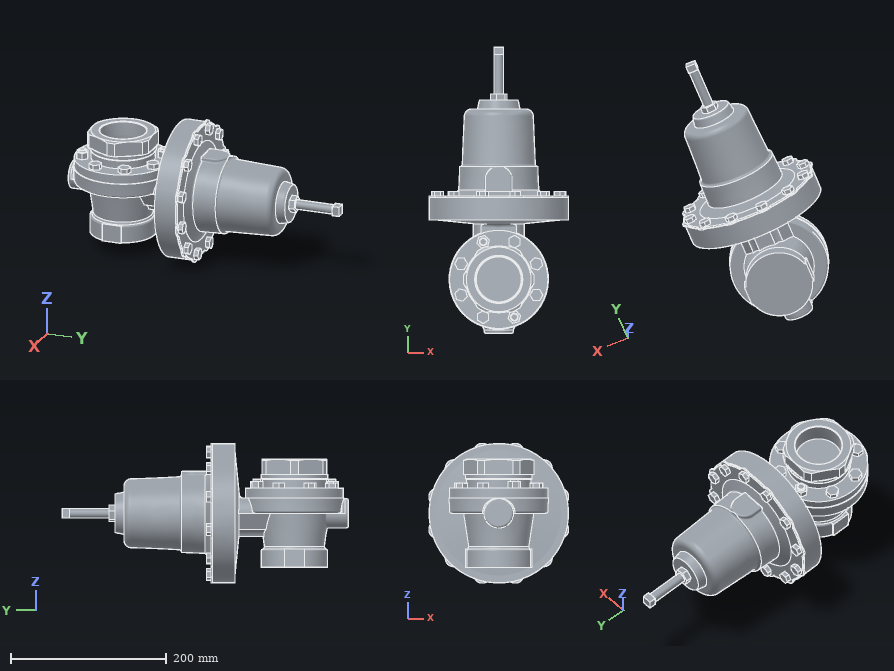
import cadquery as cq
import math



PICK_MARGIN = 1.0

LOWER_FLANGE_FACE = 76.4
LUG_PLATE_BASE = 105.5
LUG_PLATE_TOP = 107.5
LUG_PLATE_RADIUS = 88.0
DIAPHRAGM_RADIUS = 89.8
CONE_RADIUS = 80.6
CONE_SLOPE = 0.1
DIAPHRAGM_BOLT_AF = 13.3
DIAPHRAGM_BOLT_COUNT = 12
DIAPHRAGM_BOLT_STEP = 360.0 / DIAPHRAGM_BOLT_COUNT
DIAPHRAGM_BOLT_CIRCLE = 81.5
DIAPHRAGM_HEAD_HEIGHT = 5.9
OVERALL_WIDTH = 180.16
LUG_OFFSET = DIAPHRAGM_BOLT_CIRCLE * math.cos(math.radians(DIAPHRAGM_BOLT_STEP / 2))
LUG_RADIUS = OVERALL_WIDTH / 2 - LUG_OFFSET

SKIRT_FOOT_RADIUS = 66.0
SKIRT_TOP = 113.3
CASE_ROOT_FILLET = 1.6
CASE_BASE_RADIUS = 51.8
CASE_SHOULDER = 145.4
CASE_SHOULDER_RADIUS = 50.6
BELL_START = 148.7
BELL_START_RADIUS = 47.2
BELL_END = 219.4
BELL_END_RADIUS = 44.2
BELL_ROUND = 8.9
CAP_END = 231.2
CAP_BASE_RADIUS = 27.4
CAP_NECK_RADIUS = 25.5
CAP_END_RADIUS = 24.5
CAP_CHAMFER = 2.2
LOCKNUT_AF = 19.05
LOCKNUT_TURN = 15.0
LOCKNUT_END = 238.9
STEM_WIDTH = 12.7
STEM_SQUARE_LENGTH = 9.4
BOSS_FACE = -69.4
OVERALL_LENGTH = 368.3
STEM_END = BOSS_FACE + OVERALL_LENGTH

PAD_TOP = 54.2
PAD_RADIUS = 17.2
PAD_ROUND = 2.4
PAD_ROOT_FILLET = 2.2
PAD_TIP = CASE_SHOULDER + 0.6
PAD_CENTRE = PAD_TIP - PAD_RADIUS
PAD_FOOT = 40.0
PAD_OVERRUN = 5.0

NECK_HALF_WIDTH = 33.0
NECK_FLAT_HALF_WIDTH = 22.9
NECK_SIDE_FOOT_X = 20.6
NECK_SIDE_FOOT_Z = -21.2
NECK_BOTTOM_HALF_WIDTH = 11.0
NECK_BOTTOM = -30.2
NECK_KEEL_HOLLOW = 1.6
NECK_FILLET = 4.0

BODY_JOINT = 19.9
BODY_FLANGE_RADIUS = 64.0
BODY_FLANGE_FOOT_RADIUS = 63.3
BODY_FLANGE_ROUND = 2.8
BODY_CONE_TOP_RADIUS = 45.2
BODY_CONE_FOOT_RADIUS = 38.7
BODY_CONE_FOOT = -42.7
RING_TOP = -46.0
RING_ROUND = 3.0
RING_BOTTOM = -69.7
RING_RADIUS = 43.0
RING_PAD_HALF_WIDTH = 12.9
RING_PAD_DISTANCE = RING_RADIUS

BONNET_TOP = 32.3
BONNET_RADIUS = 63.2
UNION_NECK_RADIUS = 41.5
COLLAR_BASE = 43.2
COLLAR_ROUND = 1.5
COLLAR_RADIUS = 43.0
UNION_BASE = 50.0
UNION_TOP = 69.6
UNION_AF = 83.8
UNION_CORNER_AF = 90.8
UNION_TOP_RADIUS = 41.6
UNION_CHAMFER = 1.6
BORE_MOUTH_RADIUS = 31.0
BORE_RADIUS = 30.2
BORE_THREAD_END_RADIUS = 29.0
BORE_THREAD_DEPTH = 18.8
BORE_DEPTH = 24.7
BONNET_BOLT_AF = 14.3
BONNET_BOLT_COUNT = 8
BONNET_BOLT_STEP = 360.0 / BONNET_BOLT_COUNT
STUD_POSITIONS = (2, 6)
BONNET_BOLT_CIRCLE = 52.5
BONNET_HEAD_HEIGHT = 6.6
STUD_NUT_HEIGHT = 8.8
STUD_HEIGHT = 12.0
STUD_RADIUS = 5.0
STUD_CHAMFER = 0.8

FRONT_BOSS_RADIUS = 19.0
FRONT_BOSS_ROUND = 2.7
FRONT_BOSS_FLARE = 1.8
FRONT_BOSS_ROOT_FILLET = 2.0


def hexagon(plane, across_flats, turn, height):
    """Hexagonal prism on the plane; with no turn a corner points along the plane's first axis."""
    corner_diameter = across_flats / math.cos(math.pi / 6)
    prism = cq.Workplane(plane).polygon(6, corner_diameter).extrude(height)
    return prism.rotate(plane.origin, plane.origin + plane.zDir, turn)


def plane_along_y(y, x=0.0, z=0.0):
    """Plane facing +Y, its first axis along +X."""
    return cq.Plane(origin=(x, y, z), xDir=(1, 0, 0), normal=(0, 1, 0))


def plane_along_z(z, x=0.0, y=0.0):
    """Plane facing +Z, its first axis along +X."""
    return cq.Plane(origin=(x, y, z), xDir=(1, 0, 0), normal=(0, 0, 1))


def diaphragm_and_case():
    """Turned body about Y: shallow cone, flange pair, spring case, cap."""
    cone_tip = LOWER_FLANGE_FACE - CONE_RADIUS * CONE_SLOPE
    bell_taper = math.atan2(BELL_START_RADIUS - BELL_END_RADIUS, BELL_END - BELL_START)
    arc_45 = BELL_ROUND * (1 - math.sqrt(0.5))
    bell_edge_radius = BELL_END_RADIUS + BELL_ROUND * math.tan(bell_taper)
    profile = (
        cq.Workplane("XY")
        .moveTo(0, cone_tip)
        .lineTo(CONE_RADIUS, LOWER_FLANGE_FACE)
        .lineTo(DIAPHRAGM_RADIUS, LOWER_FLANGE_FACE)
        .lineTo(DIAPHRAGM_RADIUS, LUG_PLATE_BASE)
        .lineTo(LUG_PLATE_RADIUS, LUG_PLATE_BASE)
        .lineTo(LUG_PLATE_RADIUS, LUG_PLATE_TOP)
        .lineTo(SKIRT_FOOT_RADIUS, LUG_PLATE_TOP)
        .lineTo(CASE_BASE_RADIUS + CASE_ROOT_FILLET, SKIRT_TOP)
        .tangentArcPoint((CASE_BASE_RADIUS, SKIRT_TOP + CASE_ROOT_FILLET), relative=False)
        .lineTo(CASE_SHOULDER_RADIUS, CASE_SHOULDER)
        .lineTo(BELL_START_RADIUS + BELL_START - CASE_SHOULDER, CASE_SHOULDER)
        .tangentArcPoint((BELL_START_RADIUS, BELL_START), relative=False)
        .lineTo(bell_edge_radius, BELL_END - BELL_ROUND)
        .threePointArc(
            (BELL_END_RADIUS - arc_45, BELL_END - arc_45),
            (BELL_END_RADIUS - BELL_ROUND, BELL_END),
        )
        .lineTo(CAP_BASE_RADIUS, BELL_END)
        .lineTo(CAP_NECK_RADIUS, CAP_END - CAP_CHAMFER)
        .lineTo(CAP_END_RADIUS, CAP_END)
        .lineTo(0, CAP_END)
        .close()
    )
    return profile.revolve(360, (0, 0, 0), (0, 1, 0))


def lugs_and_bolts():
    """Round lugs on the thin case flange, each with a hexagonal bolt head."""
    group = cq.Workplane("XY")
    thickness = LUG_PLATE_TOP - LUG_PLATE_BASE
    for index in range(DIAPHRAGM_BOLT_COUNT):
        degrees = DIAPHRAGM_BOLT_STEP * (index + 0.5)
        x = DIAPHRAGM_BOLT_CIRCLE * math.cos(math.radians(degrees))
        z = DIAPHRAGM_BOLT_CIRCLE * math.sin(math.radians(degrees))
        lug = cq.Workplane(plane_along_y(LUG_PLATE_BASE, x, z)).circle(LUG_RADIUS).extrude(thickness)
        turn = DIAPHRAGM_BOLT_STEP * (index + 1)
        head = hexagon(plane_along_y(LUG_PLATE_TOP, x, z), DIAPHRAGM_BOLT_AF, turn, DIAPHRAGM_HEAD_HEIGHT)
        group = group.add(lug).add(head)
    return group


def adjusting_stem():
    """Locknut and round stem with a square end."""
    nut = hexagon(plane_along_y(CAP_END), LOCKNUT_AF, LOCKNUT_TURN, LOCKNUT_END - CAP_END)
    square_start = STEM_END - STEM_SQUARE_LENGTH
    stem = cq.Workplane(plane_along_y(CAP_END)).circle(STEM_WIDTH / 2).extrude(square_start - CAP_END)
    square = cq.Workplane(plane_along_y(square_start)).rect(STEM_WIDTH, STEM_WIDTH)
    return nut.union(stem).union(square.extrude(STEM_SQUARE_LENGTH))


def vent_pad():
    """Flat-topped arch with a rounded top edge and a root fillet onto the tapered case wall.

    Pad and wall are made over-long so that the fillet runs out at the case shoulder.
    """
    wall_start = SKIRT_TOP - PAD_OVERRUN
    wall_end = CASE_SHOULDER + PAD_OVERRUN
    draft = (CASE_BASE_RADIUS - CASE_SHOULDER_RADIUS) / (CASE_SHOULDER - SKIRT_TOP - CASE_ROOT_FILLET)
    wall = (
        cq.Workplane("XY")
        .moveTo(0, wall_start)
        .lineTo(CASE_SHOULDER_RADIUS + draft * (CASE_SHOULDER - wall_start), wall_start)
        .lineTo(CASE_SHOULDER_RADIUS + draft * (CASE_SHOULDER - wall_end), wall_end)
        .lineTo(0, wall_end)
        .close()
        .revolve(360, (0, 0, 0), (0, 1, 0))
    )
    arch = (
        cq.Workplane(plane_along_z(PAD_FOOT))
        .moveTo(-PAD_RADIUS, wall_start)
        .lineTo(-PAD_RADIUS, PAD_CENTRE)
        .threePointArc((0, PAD_TIP), (PAD_RADIUS, PAD_CENTRE))
        .lineTo(PAD_RADIUS, wall_start)
        .close()
        .extrude(PAD_TOP - PAD_FOOT)
    )
    arch = arch.faces(">Z").edges("not(<Y)").fillet(PAD_ROUND)
    root_edges = cq.selectors.BoxSelector(
        (-PAD_RADIUS - PICK_MARGIN, wall_start - PICK_MARGIN, PAD_FOOT),
        (PAD_RADIUS + PICK_MARGIN, wall_end - PICK_MARGIN, CASE_SHOULDER_RADIUS + PICK_MARGIN),
        boundingbox=True,
    )
    end_edges = cq.selectors.DirectionMinMaxSelector(cq.Vector(0, 1, 0), directionMax=False)
    pad = wall.union(arch).edges(root_edges - end_edges).fillet(PAD_ROOT_FILLET)
    window = cq.Workplane(plane_along_y(SKIRT_TOP)).rect(4 * PAD_RADIUS, 2 * PAD_TOP)
    return pad.intersect(window.extrude(CASE_SHOULDER - SKIRT_TOP))


def neck():
    """Flat-topped neck: bulged upper sides, sloping lower sides, hollow-sided keel."""
    side_drop = NECK_HALF_WIDTH - NECK_FLAT_HALF_WIDTH
    side_radius = (side_drop**2 + BODY_JOINT**2) / (2 * side_drop)
    side_centre = NECK_HALF_WIDTH - side_radius
    half_angle = math.asin(BODY_JOINT / side_radius) / 2
    mid_x = side_centre + side_radius * math.cos(half_angle)
    mid_z = side_radius * math.sin(half_angle)
    keel_run = NECK_SIDE_FOOT_X - NECK_BOTTOM_HALF_WIDTH
    keel_drop = NECK_SIDE_FOOT_Z - NECK_BOTTOM
    keel_chord = math.hypot(keel_run, keel_drop)
    keel_x = NECK_SIDE_FOOT_X - keel_run / 2 - NECK_KEEL_HOLLOW * keel_drop / keel_chord
    keel_z = NECK_SIDE_FOOT_Z - keel_drop / 2 + NECK_KEEL_HOLLOW * keel_run / keel_chord
    outline = (
        cq.Workplane("XZ")
        .moveTo(-NECK_FLAT_HALF_WIDTH, BODY_JOINT)
        .lineTo(NECK_FLAT_HALF_WIDTH, BODY_JOINT)
        .threePointArc((mid_x, mid_z), (NECK_HALF_WIDTH, 0))
        .lineTo(NECK_SIDE_FOOT_X, NECK_SIDE_FOOT_Z)
        .threePointArc((keel_x, keel_z), (NECK_BOTTOM_HALF_WIDTH, NECK_BOTTOM))
        .lineTo(-NECK_BOTTOM_HALF_WIDTH, NECK_BOTTOM)
        .threePointArc((-keel_x, keel_z), (-NECK_SIDE_FOOT_X, NECK_SIDE_FOOT_Z))
        .lineTo(-NECK_HALF_WIDTH, 0)
        .threePointArc((-mid_x, mid_z), (-NECK_FLAT_HALF_WIDTH, BODY_JOINT))
        .close()
    )
    return outline.extrude(-LOWER_FLANGE_FACE)


def valve_body():
    """Turned body about Z: flange, conical bowl, outlet ring with two side pads."""
    ring_shoulder = RING_RADIUS - RING_ROUND
    ring_45 = RING_ROUND * (1 - math.sqrt(0.5))
    profile = (
        cq.Workplane("XZ")
        .moveTo(0, BODY_JOINT)
        .lineTo(BODY_FLANGE_RADIUS, BODY_JOINT)
        .lineTo(BODY_FLANGE_FOOT_RADIUS, BODY_FLANGE_ROUND)
        .tangentArcPoint((BODY_FLANGE_FOOT_RADIUS - BODY_FLANGE_ROUND, 0), relative=False)
        .lineTo(BODY_CONE_TOP_RADIUS, 0)
        .lineTo(BODY_CONE_FOOT_RADIUS, BODY_CONE_FOOT)
        .lineTo(ring_shoulder, RING_TOP)
        .threePointArc((RING_RADIUS - ring_45, RING_TOP - ring_45), (RING_RADIUS, RING_TOP - RING_ROUND))
        .lineTo(RING_RADIUS, RING_BOTTOM)
        .lineTo(0, RING_BOTTOM)
        .close()
    )
    body = profile.revolve(360, (0, 0, 0), (0, 1, 0))
    pads = cq.Workplane(plane_along_z(RING_BOTTOM)).rect(2 * RING_PAD_DISTANCE, 2 * RING_PAD_HALF_WIDTH)
    return body.union(pads.extrude(RING_TOP - RING_BOTTOM))


def bonnet_and_union():
    """Bonnet plate, union neck, collar and the corner-trimmed union hexagon."""
    profile = (
        cq.Workplane("XZ")
        .moveTo(0, BODY_JOINT)
        .lineTo(BONNET_RADIUS, BODY_JOINT)
        .lineTo(BONNET_RADIUS, BONNET_TOP)
        .lineTo(UNION_NECK_RADIUS, BONNET_TOP)
        .lineTo(UNION_NECK_RADIUS, COLLAR_BASE)
        .lineTo(COLLAR_RADIUS, COLLAR_BASE + COLLAR_ROUND)
        .lineTo(COLLAR_RADIUS, UNION_BASE)
        .lineTo(0, UNION_BASE)
        .close()
    )
    bonnet = profile.revolve(360, (0, 0, 0), (0, 1, 0))
    height = UNION_TOP - UNION_BASE
    base_plane = plane_along_z(UNION_BASE)
    flats = hexagon(base_plane, UNION_AF, 0, height)
    corners = hexagon(base_plane, UNION_CORNER_AF, 30, height)
    corner_reach = UNION_CORNER_AF / 2 + UNION_CHAMFER
    chamfer_slope = UNION_CHAMFER / (UNION_CORNER_AF / 2 - UNION_TOP_RADIUS)
    chamfer_drop = chamfer_slope * (corner_reach - UNION_TOP_RADIUS)
    top_cone = (
        cq.Workplane("XZ")
        .moveTo(0, UNION_BASE)
        .lineTo(corner_reach, UNION_BASE)
        .lineTo(corner_reach, UNION_TOP - chamfer_drop)
        .lineTo(UNION_TOP_RADIUS, UNION_TOP)
        .lineTo(0, UNION_TOP)
        .close()
        .revolve(360, (0, 0, 0), (0, 1, 0))
    )
    return bonnet.union(flats.intersect(corners).intersect(top_cone))


def inlet_bore():
    """Blind inlet: tapered thread length, then a plain length to a flat floor."""
    return (
        cq.Workplane("XZ")
        .moveTo(0, UNION_TOP)
        .lineTo(BORE_MOUTH_RADIUS, UNION_TOP)
        .lineTo(BORE_RADIUS, UNION_TOP - BORE_MOUTH_RADIUS + BORE_RADIUS)
        .lineTo(BORE_THREAD_END_RADIUS, UNION_TOP - BORE_THREAD_DEPTH)
        .lineTo(BORE_THREAD_END_RADIUS, UNION_TOP - BORE_DEPTH)
        .lineTo(0, UNION_TOP - BORE_DEPTH)
        .close()
        .revolve(360, (0, 0, 0), (0, 1, 0))
    )


def bonnet_bolts():
    """Six bolt heads and two opposite studs with nuts."""
    group = cq.Workplane("XY")
    for index in range(BONNET_BOLT_COUNT):
        degrees = BONNET_BOLT_STEP * (index + 0.5)
        x = BONNET_BOLT_CIRCLE * math.cos(math.radians(degrees))
        y = BONNET_BOLT_CIRCLE * math.sin(math.radians(degrees))
        turn = BONNET_BOLT_STEP * (index + 1)
        has_stud = index in STUD_POSITIONS
        height = STUD_NUT_HEIGHT if has_stud else BONNET_HEAD_HEIGHT
        seat = plane_along_z(BONNET_TOP, x, y)
        group = group.add(hexagon(seat, BONNET_BOLT_AF, turn, height))
        if has_stud:
            stud = cq.Workplane(seat).circle(STUD_RADIUS).extrude(STUD_HEIGHT)
            group = group.add(stud.faces(">Z").chamfer(STUD_CHAMFER))
    return group


def front_boss():
    """Round boss facing -Y with a rounded front edge."""
    boss = cq.Workplane("XZ").circle(FRONT_BOSS_RADIUS).extrude(-BOSS_FACE)
    return boss.faces("<Y").edges().fillet(FRONT_BOSS_ROUND)


def boss_flare():
    """Upper half ring that widens the boss where it leaves the body flange."""
    flare_reach = FRONT_BOSS_RADIUS + FRONT_BOSS_FLARE
    flare_start = -BODY_FLANGE_RADIUS - FRONT_BOSS_FLARE / 2
    flare = (
        cq.Workplane("XY")
        .moveTo(0, flare_start)
        .lineTo(FRONT_BOSS_RADIUS, flare_start)
        .lineTo(flare_reach, flare_start + 2 * FRONT_BOSS_FLARE)
        .lineTo(flare_reach, -BODY_CONE_TOP_RADIUS)
        .lineTo(0, -BODY_CONE_TOP_RADIUS)
        .close()
        .revolve(360, (0, 0, 0), (0, 1, 0))
    )
    flange_zone = cq.Workplane(plane_along_z(0)).circle(-BOSS_FACE).extrude(BODY_JOINT)
    return flare.intersect(flange_zone)


def fuse(body, group):
    """Body joined with every solid of the group."""
    for item in group.vals():
        body = body.union(cq.Workplane(item))
    return body


def diaphragm_with_neck():
    """Diaphragm, spring case and neck, with a fillet where the neck's flat top meets the cone."""
    joined = diaphragm_and_case().union(neck())
    top_joint = cq.selectors.BoxSelector(
        (-NECK_HALF_WIDTH, BODY_FLANGE_RADIUS, BODY_JOINT - PICK_MARGIN),
        (NECK_HALF_WIDTH, LOWER_FLANGE_FACE - PICK_MARGIN, BODY_JOINT + PICK_MARGIN),
        boundingbox=True,
    )
    return joined.edges(top_joint).fillet(NECK_FILLET)


def body_with_boss():
    """Valve body and front boss, with a fillet where the boss meets the conical bowl."""
    joined = valve_body().union(front_boss())
    bowl_joint = cq.selectors.BoxSelector(
        (-FRONT_BOSS_RADIUS - PICK_MARGIN, -BODY_CONE_TOP_RADIUS, -FRONT_BOSS_RADIUS - PICK_MARGIN),
        (FRONT_BOSS_RADIUS + PICK_MARGIN, -BODY_CONE_FOOT_RADIUS, PICK_MARGIN),
        boundingbox=True,
    )
    return joined.edges(bowl_joint).fillet(FRONT_BOSS_ROOT_FILLET).union(boss_flare())


result = diaphragm_with_neck().union(vent_pad()).union(adjusting_stem())
result = fuse(result, lugs_and_bolts())
result = result.union(body_with_boss()).union(bonnet_and_union())
result = fuse(result, bonnet_bolts()).cut(inlet_bore())